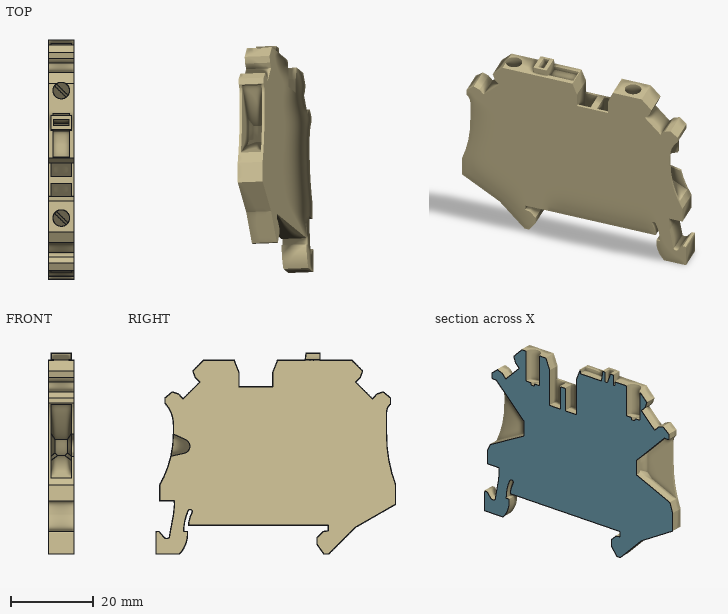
import cadquery as cq


THICKNESS = 6.15
LENGTH = 57.8
HEIGHT = 48.45

HEAD_CENTER_Y = 29.38
TOP_Z = 46.75
VALLEY_Z = 40.4
VALLEY_FRONT_Y = 20.08
VALLEY_BACK_Y = 28.12
VALLEY_FLARE_Z = 43.75
VALLEY_FLARE = 1.18
RAIL_SEAT_Z = 6.95
FOOT_SHELF_Z = 5.47
SIDE_FRONT_Y = 4.2
SIDE_BACK_Y = 55.65
FLANK_TOP_Z = 28.96
FRONT_CORNER = (0.9, 16.7)
BACK_CORNER = (LENGTH, 16.8)
SPRING_ROOT_Z = 12.85

SIDE_WALL = 0.61
INNER_HALF_WIDTH = THICKNESS / 2 - SIDE_WALL

SCREW_CENTERS_Y = (14.83, 45.56)
SCREW_DIAMETER = 4.0
SCREW_DEPTH = 8.0
DRIVER_SLOT_WIDTH = 0.65
DRIVER_SLOT_DEPTH = 0.6
DRIVER_SLOT_ANGLE = -45

CHANNEL_HALF_WIDTH = 1.93
CHANNEL_FRONT_Y = 29.5
CHANNEL_BACK_Y = 40.0
CHANNEL_DEPTH = 1.0
BUTTON_FRONT_Y = 36.2
BUTTON_LENGTH = 3.4
BUTTON_DRAFT = 0.4
BUTTON_GAP = 0.15
BUTTON_SLOT_FRONT_Y = 37.1
BUTTON_SLOT_FLOOR = 0.55
BUTTON_SLOT_LENGTH = 1.5
BUTTON_SLOT_HALF_WIDTH = 1.85
BUTTON_SLOT_DEPTH = 2.6

JUMPER_RIB_FRONT_Y = 23.2
JUMPER_RIB_BACK_Y = 24.85
JUMPER_DEPTH = 6.0

ENTRY_TOP_Z = 36.1
ENTRY_TOP_Y = 3.6
FRONT_ENTRY_BOTTOM = (1.7, 18.35)
BACK_ENTRY_BOTTOM = (1.85, 19.45)
ENTRY_END_Y = 12.0
ENTRY_END_TOP_Z = 27.7
ENTRY_END_BOTTOM_Z = 23.75
ENTRY_END_HALF_WIDTH = 1.53
ENTRY_TAPER_LENGTH = 1.4
ENTRY_CORNER_BEVEL = 0.65
ENTRY_RAMP_BEVEL_Z = 22.6
NOTCH_BOTTOM_Z = 23.6
CUTTER_SIZE = 12.0


def box(x_range, y_range, z_range):
    """Box given by its limits along X, Y and Z."""
    (x0, x1), (y0, y1), (z0, z1) = x_range, y_range, z_range
    return cq.Workplane("XY").box(x1 - x0, y1 - y0, z1 - z0, centered=False).translate((x0, y0, z0))


def side_sketch(x):
    """Workplane parallel to YZ; local coordinates are (Y, Z)."""
    return cq.Workplane("YZ", origin=(x, 0, 0))


def mirrored(y):
    """Y position on the other side of the head symmetry line."""
    return 2 * HEAD_CENTER_Y - y


def housing():
    head_edge = [
        (11.45, TOP_Z),
        (8.9, 44.15),
        (9.45, 42.6),
        (10.58, 41.45),
        (6.55, 37.45),
        (5.5, 38.6),
        (3.98, 39.15),
        (2.17, 37.65),
        (2.17, 36.4),
    ]
    back_head_edge = [(mirrored(y), z) for y, z in reversed(head_edge)]

    outline = (
        side_sketch(-THICKNESS / 2)
        .moveTo(VALLEY_BACK_Y, VALLEY_FLARE_Z)
        .lineTo(VALLEY_BACK_Y, VALLEY_Z)
        .lineTo(VALLEY_FRONT_Y, VALLEY_Z)
        .lineTo(VALLEY_FRONT_Y, VALLEY_FLARE_Z)
        .lineTo(VALLEY_FRONT_Y - VALLEY_FLARE, TOP_Z)
    )
    for point in head_edge:
        outline = outline.lineTo(*point)

    outline = (
        outline.lineTo(3.04, 35.3)
        .threePointArc((3.92, 33.3), (SIDE_FRONT_Y, 31.3))
        .lineTo(SIDE_FRONT_Y, FLANK_TOP_Z)
        .tangentArcPoint(FRONT_CORNER, relative=False)
        .lineTo(FRONT_CORNER[0], SPRING_ROOT_Z)
        .lineTo(4.38, SPRING_ROOT_Z)
    )
    outline = (
        outline.threePointArc((4.45, 12.1), (4.4, 11.3))
        .lineTo(4.22, 9.5)
        .threePointArc((3.78, 7.2), (3.22, 4.05))
        .threePointArc((2.7, 3.8), (1.95, 4.1))
        .lineTo(0.8, FOOT_SHELF_Z)
        .lineTo(0.08, FOOT_SHELF_Z)
        .lineTo(0, 5.1)
        .lineTo(0, 0)
        .lineTo(5.68, 0)
        .threePointArc((7.15, 2.28), (7.67, 4.8))
        .lineTo(7.67, FOOT_SHELF_Z)
        .lineTo(6.73, FOOT_SHELF_Z)
        .threePointArc((7.02, 8.07), (7.8, 10.45))
        .threePointArc((8.35, 10.75), (8.76, 10.17))
        .threePointArc((8.14, 8.6), (7.82, RAIL_SEAT_Z))
    )
    outline = (
        outline.lineTo(41.5, RAIL_SEAT_Z)
        .lineTo(41.5, 5.65)
        .lineTo(40.3, FOOT_SHELF_Z)
        .lineTo(38.8, 3.98)
        .lineTo(38.8, 2.4)
        .lineTo(40.5, 0)
        .lineTo(41.66, 0)
        .lineTo(48.1, 6.44)
        .lineTo(LENGTH, 12.0)
        .lineTo(*BACK_CORNER)
    )
    outline = (
        outline.threePointArc((56.5, 21.1), (SIDE_BACK_Y, FLANK_TOP_Z))
        .lineTo(SIDE_BACK_Y, 34.3)
        .threePointArc((55.9, 35.3), (mirrored(head_edge[-1][0]), 36.2))
    )
    for point in back_head_edge[1:]:
        outline = outline.lineTo(*point)
    outline = outline.lineTo(VALLEY_BACK_Y + VALLEY_FLARE, TOP_Z)
    return outline.close().extrude(THICKNESS)


def screw_hole(y):
    """Round hole ending on a slotted screw head."""
    floor_z = TOP_Z - SCREW_DEPTH
    hole = cq.Workplane("XY", origin=(0, y, floor_z)).circle(SCREW_DIAMETER / 2).extrude(SCREW_DEPTH)
    slot = (
        cq.Workplane("XY", origin=(0, y, floor_z - DRIVER_SLOT_DEPTH))
        .transformed(rotate=(0, 0, DRIVER_SLOT_ANGLE))
        .rect(SCREW_DIAMETER, DRIVER_SLOT_WIDTH)
        .extrude(DRIVER_SLOT_DEPTH)
    )
    screw_end = hole.translate((0, 0, -DRIVER_SLOT_DEPTH))
    return hole.union(slot.intersect(screw_end))


def slider_channel():
    return box(
        (-CHANNEL_HALF_WIDTH, CHANNEL_HALF_WIDTH),
        (CHANNEL_FRONT_Y, CHANNEL_BACK_Y),
        (TOP_Z - CHANNEL_DEPTH, TOP_Z),
    )


def slider_button():
    """Button head on a narrower stem standing in the channel, with a slanted slot on top."""
    button_range = (BUTTON_FRONT_Y - BUTTON_DRAFT, BUTTON_FRONT_Y + BUTTON_LENGTH)
    channel_floor_z = TOP_Z - CHANNEL_DEPTH
    head_bottom_z = TOP_Z + BUTTON_GAP
    side_shape = (
        side_sketch(-INNER_HALF_WIDTH)
        .moveTo(BUTTON_FRONT_Y, HEIGHT)
        .lineTo(BUTTON_FRONT_Y - BUTTON_DRAFT, channel_floor_z)
        .lineTo(BUTTON_FRONT_Y + BUTTON_LENGTH, channel_floor_z)
        .lineTo(BUTTON_FRONT_Y + BUTTON_LENGTH, HEIGHT)
        .close()
        .extrude(2 * INNER_HALF_WIDTH)
    )
    head = box((-INNER_HALF_WIDTH, INNER_HALF_WIDTH), button_range, (head_bottom_z, HEIGHT))
    stem = box(
        (-CHANNEL_HALF_WIDTH, CHANNEL_HALF_WIDTH),
        button_range,
        (channel_floor_z, head_bottom_z),
    )
    slot_floor_z = HEIGHT - BUTTON_SLOT_DEPTH
    slot = (
        side_sketch(-BUTTON_SLOT_HALF_WIDTH)
        .moveTo(BUTTON_SLOT_FRONT_Y, HEIGHT)
        .lineTo(BUTTON_SLOT_FRONT_Y, slot_floor_z)
        .lineTo(BUTTON_SLOT_FRONT_Y + BUTTON_SLOT_FLOOR, slot_floor_z)
        .lineTo(BUTTON_SLOT_FRONT_Y + BUTTON_SLOT_LENGTH, HEIGHT)
        .close()
        .extrude(2 * BUTTON_SLOT_HALF_WIDTH)
    )
    return head.union(stem).intersect(side_shape).cut(slot)


def jumper_pocket(y_range):
    return box((-INNER_HALF_WIDTH, INNER_HALF_WIDTH), y_range, (VALLEY_Z - JUMPER_DEPTH, VALLEY_Z))


def funnel_corner(side, bottom_y, bottom_z):
    """Block filling one lower corner at the funnel end; side is +1 or -1 along X."""
    ramp_slope = (ENTRY_END_BOTTOM_Z - bottom_z) / (ENTRY_END_Y - bottom_y)
    bevel_y = ENTRY_END_Y - (ENTRY_END_BOTTOM_Z - ENTRY_RAMP_BEVEL_Z) / ramp_slope
    on_floor = cq.Vector(
        side * (ENTRY_END_HALF_WIDTH - ENTRY_CORNER_BEVEL), ENTRY_END_Y, ENTRY_END_BOTTOM_Z
    )
    on_wall = cq.Vector(side * ENTRY_END_HALF_WIDTH, ENTRY_END_Y, ENTRY_END_BOTTOM_Z + ENTRY_CORNER_BEVEL)
    on_ramp = cq.Vector(side * INNER_HALF_WIDTH, bevel_y, ENTRY_RAMP_BEVEL_Z)
    floor_to_wall = on_wall - on_floor
    into_corner = floor_to_wall.cross(on_ramp - on_floor) * side
    bevel_plane = cq.Plane(origin=on_floor, xDir=floor_to_wall, normal=into_corner)
    return cq.Workplane(bevel_plane).rect(CUTTER_SIZE, CUTTER_SIZE).extrude(CUTTER_SIZE)


def wire_entry(bottom_y, bottom_z):
    """Funnel narrowing inwards from the front edge: sloped roof, ramp floor, tapered end."""
    outside_y = bottom_y - CUTTER_SIZE
    side_shape = (
        side_sketch(-INNER_HALF_WIDTH)
        .moveTo(outside_y, ENTRY_TOP_Z)
        .lineTo(ENTRY_TOP_Y, ENTRY_TOP_Z)
        .lineTo(ENTRY_END_Y, ENTRY_END_TOP_Z)
        .lineTo(ENTRY_END_Y, ENTRY_END_BOTTOM_Z)
        .lineTo(bottom_y, bottom_z)
        .lineTo(outside_y, bottom_z)
        .close()
        .extrude(2 * INNER_HALF_WIDTH)
    )
    plan_shape = (
        cq.Workplane("XY", origin=(0, 0, bottom_z))
        .moveTo(-INNER_HALF_WIDTH, outside_y)
        .lineTo(INNER_HALF_WIDTH, outside_y)
        .lineTo(INNER_HALF_WIDTH, ENTRY_END_Y - ENTRY_TAPER_LENGTH)
        .lineTo(ENTRY_END_HALF_WIDTH, ENTRY_END_Y)
        .lineTo(-ENTRY_END_HALF_WIDTH, ENTRY_END_Y)
        .lineTo(-INNER_HALF_WIDTH, ENTRY_END_Y - ENTRY_TAPER_LENGTH)
        .close()
        .extrude(ENTRY_TOP_Z - bottom_z)
    )
    funnel = side_shape.intersect(plan_shape)
    for side in (-1, 1):
        funnel = funnel.cut(funnel_corner(side, bottom_y, bottom_z))
    return funnel


def wall_notch():
    """Round-ended notch through the +X side wall of the front wire entry."""
    return (
        side_sketch(INNER_HALF_WIDTH)
        .moveTo(0, FLANK_TOP_Z)
        .lineTo(SIDE_FRONT_Y, FLANK_TOP_Z)
        .lineTo(7.2, 27.6)
        .threePointArc((8.2, 26.0), (7.2, 24.4))
        .lineTo(3.6, NOTCH_BOTTOM_Z)
        .lineTo(0, NOTCH_BOTTOM_Z)
        .close()
        .extrude(SIDE_WALL)
    )


front_entry = wire_entry(*FRONT_ENTRY_BOTTOM)
back_entry = wire_entry(*BACK_ENTRY_BOTTOM).mirror("XZ", (0, HEAD_CENTER_Y, 0))

result = housing().cut(front_entry).cut(back_entry).cut(wall_notch())
for screw_y in SCREW_CENTERS_Y:
    result = result.cut(screw_hole(screw_y))
result = result.cut(jumper_pocket((VALLEY_FRONT_Y, JUMPER_RIB_FRONT_Y)))
result = result.cut(jumper_pocket((JUMPER_RIB_BACK_Y, VALLEY_BACK_Y)))
result = result.cut(slider_channel()).union(slider_button())